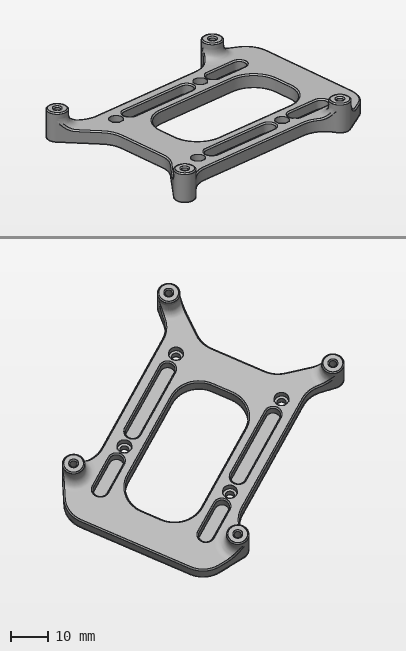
import cadquery as cq
import math

length = 73.5
plate_thickness = 4.05
top_edge_y = length / 2
bottom_edge_y = -26.1
waist_half_width = 21.0
underside_corner_x = 10.8
corner_radius = 8.0
rim_chamfer = 0.4
base_chamfer = 0.3

overall_width = 55.0
post_height = 9.0
post_radius = 6.0 / 2
post_x = overall_width / 2 - post_radius
post_spacing_y = 58.0
lower_post_y = -length / 2 + post_radius
upper_post_y = lower_post_y + post_spacing_y
post_chamfer = 0.4
flare_radius = post_radius
flare_top = plate_thickness + flare_radius
foot_radius = post_radius + flare_radius
post_hole_radius = 1.9 / 2
post_hole_chamfer = 0.4

window_half_width = 10.9
window_top_y = 26.7
window_bottom_y = -16.0
window_corner_radius = 8.0

screw_x = 15.7
upper_screw_y = 11.2
lower_screw_y = upper_screw_y - 2 * screw_x
screw_radius = 2.4 / 2
screw_head_radius = 4.0 / 2
screw_head_depth = 2.0

slot_width = 4.05
slot_depth = 3.0
slot_ends_y = [(-17.1, 8.1), (14.05, 27.8)]

tolerance = 0.01


def post_centres():
    return [(side * post_x, y) for side in (-1, 1) for y in (lower_post_y, upper_post_y)]


def polar_point(centre, radius, angle):
    return (centre[0] + radius * math.cos(angle), centre[1] + radius * math.sin(angle))


def tangent_point(corner, post, turn):
    """Where a line from the corner touches the post: clockwise of the corner for turn 1, else for -1."""
    dx = corner[0] - post[0]
    dy = corner[1] - post[1]
    angle = math.atan2(dy, dx) - turn * math.acos(post_radius / math.hypot(dx, dy))
    return polar_point(post, post_radius, angle)


def rounded_corner(before, corner, after):
    """Start, middle and end of the arc that rounds a corner between two straight edges."""
    to_before = math.atan2(before[1] - corner[1], before[0] - corner[0])
    to_after = math.atan2(after[1] - corner[1], after[0] - corner[0])
    half_angle = math.remainder(to_after - to_before, 2 * math.pi) / 2
    setback = corner_radius / math.tan(abs(half_angle))
    middle_distance = corner_radius / math.sin(abs(half_angle)) - corner_radius
    return (
        polar_point(corner, setback, to_before),
        polar_point(corner, middle_distance, to_before + half_angle),
        polar_point(corner, setback, to_after),
    )


def armpit_arc():
    """Start, middle and end of the concave arc that touches the waist and the upper post."""
    centre_x = waist_half_width + corner_radius
    offset_x = centre_x - post_x
    centre_y = upper_post_y - math.sqrt((corner_radius + post_radius) ** 2 - offset_x**2)
    to_waist = math.pi
    to_post = math.atan2(upper_post_y - centre_y, -offset_x)
    angles = (to_waist, (to_waist + to_post) / 2, to_post)
    return [polar_point((centre_x, centre_y), corner_radius, angle) for angle in angles]


def extruded_outline(height):
    """Plate outline without the round post ends: at each post it runs in to the post centre."""
    bottom_middle = (0, bottom_edge_y)
    top_middle = (0, top_edge_y)
    underside_corner = (underside_corner_x, bottom_edge_y)
    waist_corner = (waist_half_width, bottom_edge_y)
    top_corner = (waist_half_width, top_edge_y)
    lower_post = (post_x, lower_post_y)
    upper_post = (post_x, upper_post_y)

    lower_post_inside = tangent_point(underside_corner, lower_post, -1)
    lower_post_outside = tangent_point(waist_corner, lower_post, 1)
    upper_post_outside = tangent_point(top_corner, upper_post, 1)

    armpit = armpit_arc()
    underside_arc = rounded_corner(bottom_middle, underside_corner, lower_post_inside)
    waist_arc = rounded_corner(lower_post_outside, waist_corner, armpit[0])
    top_arc = rounded_corner(upper_post_outside, top_corner, top_middle)
    return (
        cq.Workplane("XY")
        .moveTo(*bottom_middle)
        .lineTo(*underside_arc[0])
        .threePointArc(*underside_arc[1:])
        .lineTo(*lower_post_inside)
        .lineTo(*lower_post)
        .lineTo(*lower_post_outside)
        .lineTo(*waist_arc[0])
        .threePointArc(*waist_arc[1:])
        .lineTo(*armpit[0])
        .threePointArc(*armpit[1:])
        .lineTo(*upper_post)
        .lineTo(*upper_post_outside)
        .lineTo(*top_arc[0])
        .threePointArc(*top_arc[1:])
        .lineTo(*top_middle)
        .mirrorY()
        .extrude(height)
    )


def flare():
    """Round foot of a post, with a concave side that runs out onto the plate top."""
    arc_sag = flare_radius * (1 - math.sqrt(0.5))
    return (
        cq.Workplane("XZ")
        .lineTo(foot_radius, 0)
        .lineTo(foot_radius, plate_thickness)
        .threePointArc((post_radius + arc_sag, plate_thickness + arc_sag), (post_radius, flare_top))
        .lineTo(0, flare_top)
        .close()
        .revolve(360, (0, 0, 0), (0, 1, 0))
    )


def window():
    height = window_top_y - window_bottom_y
    return (
        cq.Workplane("XY")
        .center(0, (window_top_y + window_bottom_y) / 2)
        .rect(2 * window_half_width, height)
        .extrude(plate_thickness)
        .edges("|Z")
        .fillet(window_corner_radius)
    )


def slot(x, lower_end, upper_end):
    return (
        cq.Workplane("XY", origin=(x, (lower_end + upper_end) / 2, plate_thickness))
        .slot2D(upper_end - lower_end, slot_width, 90)
        .extrude(-slot_depth)
    )


def is_rim(edge):
    """True for the upper edges of the walls and openings, false for the circles that bound a flare."""
    on_flare = edge.geomType() == "CIRCLE" and any(
        abs(edge.radius() - radius) < tolerance for radius in (post_radius, foot_radius)
    )
    lowest_z = min(edge.startPoint().z, edge.endPoint().z)
    return lowest_z > plate_thickness - tolerance and not on_flare


def plate():
    """Plate with its window, slots and flares; the upper rims and the outer base edge are chamfered."""
    body = extruded_outline(plate_thickness).cut(window())
    for side in (-1, 1):
        for lower_end, upper_end in slot_ends_y:
            body = body.cut(slot(side * screw_x, lower_end, upper_end))
    walls = extruded_outline(flare_top)
    for centre in post_centres():
        body = body.union(flare().translate((*centre, 0)).intersect(walls))
    rim = [edge for edge in body.edges().vals() if is_rim(edge)]
    body = body.newObject(rim).chamfer(rim_chamfer)
    base_edges = body.faces("<Z").val().outerWire().Edges()
    return body.newObject(base_edges).chamfer(base_chamfer)


def post():
    return (
        cq.Workplane("XY")
        .circle(post_radius)
        .extrude(post_height)
        .faces(">Z")
        .chamfer(post_chamfer)
        .faces("<Z")
        .chamfer(base_chamfer)
    )


def post_hole():
    """Through hole with a chamfered mouth at the post top."""
    mouth = cq.Solid.makeCone(
        post_hole_radius, post_hole_radius + post_hole_chamfer, post_hole_chamfer,
        pnt=cq.Vector(0, 0, post_height - post_hole_chamfer),
    )
    return cq.Workplane("XY").circle(post_hole_radius).extrude(post_height).union(cq.Workplane(mouth))


def screw_hole():
    """Through hole with a flat counterbore from the plate top."""
    return (
        cq.Workplane("XY")
        .circle(screw_radius)
        .extrude(plate_thickness)
        .faces(">Z")
        .workplane()
        .circle(screw_head_radius)
        .extrude(-screw_head_depth)
    )


result = plate()
for centre in post_centres():
    result = result.union(post().translate((*centre, 0)))
for centre in post_centres():
    result = result.cut(post_hole().translate((*centre, 0)))
for x in (-screw_x, screw_x):
    for y in (lower_screw_y, upper_screw_y):
        result = result.cut(screw_hole().translate((x, y, 0)))